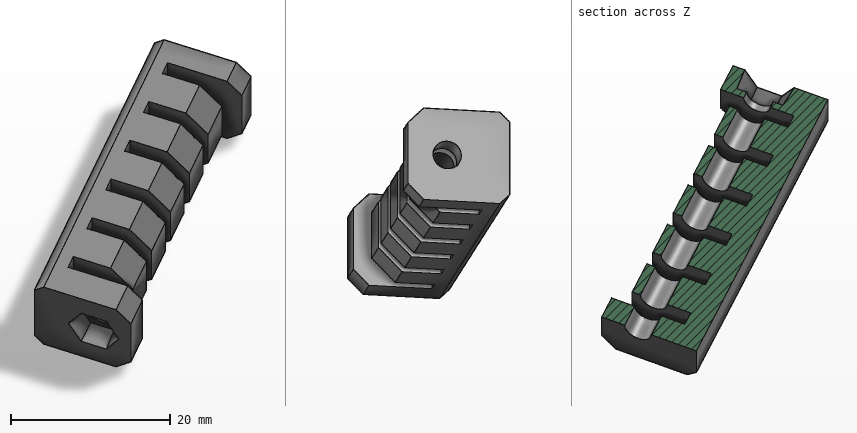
import cadquery as cq
import math

WIDTH = 13.0
LENGTH = 41.5
HEIGHT = 12.0
SPINE_CHAMFER = 1.28
END_CHAMFER = 2.0

SPINE_THICKNESS = 3.0
FRONT_BLOCK_LENGTH = 4.0
TOOTH_COUNT = 5
TOOTH_PITCH = 6.5
SLOT_WIDTH = 1.8
TOOTH_TIP_X = 11.0
TOOTH_CHAMFER = 3.0

BORE_X = 8.0
BORE_Z = HEIGHT / 2
BORE_DIAMETER = 3.6
NUT_MOUTH_FLATS = 5.85
NUT_FLOOR_FLATS = 5.45
NUT_DEPTH = 3.0
HEX_SIDES = 6

SLOT_COUNT = TOOTH_COUNT + 1
SLOT_STARTS = [FRONT_BLOCK_LENGTH + i * TOOTH_PITCH for i in range(SLOT_COUNT)]
COMB_END = SLOT_STARTS[-1] + SLOT_WIDTH


def prism_along_y(points, y_start, y_end):
    """Extrude a closed (x, z) outline from y_start to y_end."""
    plane = cq.Workplane("XZ", origin=(0, y_start, 0))
    return plane.polyline(points).close().extrude(y_start - y_end)


def make_body():
    body = cq.Workplane("XY").box(WIDTH, LENGTH, HEIGHT, centered=False)
    body = body.edges("|Y and <X").chamfer(SPINE_CHAMFER)
    return body.edges("|Y and >X").chamfer(END_CHAMFER)


def make_slot(y_start):
    """Cutter that separates neighbouring teeth down to the spine."""
    slot_depth = WIDTH - SPINE_THICKNESS
    slot = cq.Workplane("XY").box(slot_depth, SLOT_WIDTH, HEIGHT, centered=False)
    return slot.translate((SPINE_THICKNESS, y_start, 0))


def make_tooth_relief():
    """Cutter that leaves the teeth with shortened, chamfered tips."""
    outline = [
        (TOOTH_TIP_X - TOOTH_CHAMFER, 0),
        (TOOTH_TIP_X, TOOTH_CHAMFER),
        (TOOTH_TIP_X, HEIGHT - TOOTH_CHAMFER),
        (TOOTH_TIP_X - TOOTH_CHAMFER, HEIGHT),
        (WIDTH, HEIGHT),
        (WIDTH, 0),
    ]
    return prism_along_y(outline, FRONT_BLOCK_LENGTH, COMB_END)


def make_bore():
    bore = cq.Workplane("XZ").center(BORE_X, BORE_Z).circle(BORE_DIAMETER / 2)
    return bore.extrude(-LENGTH)


def hexagon_corner_diameter(across_flats):
    return across_flats / math.cos(math.pi / HEX_SIDES)


def make_nut_pocket():
    """Hexagonal pocket that narrows from the front face to its floor."""
    pocket = cq.Workplane("XZ").center(BORE_X, BORE_Z)
    pocket = pocket.polygon(HEX_SIDES, hexagon_corner_diameter(NUT_MOUTH_FLATS))
    pocket = pocket.workplane(offset=-NUT_DEPTH)
    return pocket.polygon(HEX_SIDES, hexagon_corner_diameter(NUT_FLOOR_FLATS)).loft(ruled=True)


result = make_body().cut(make_tooth_relief())
for slot_start in SLOT_STARTS:
    result = result.cut(make_slot(slot_start))
result = result.cut(make_bore())
result = result.cut(make_nut_pocket())